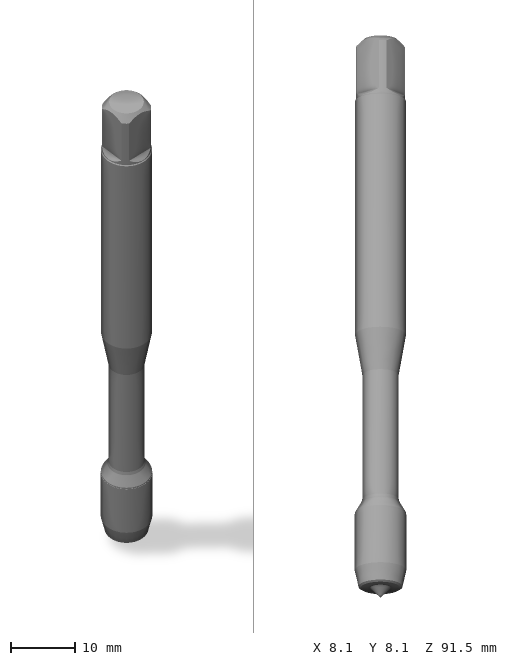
import cadquery as cq

LENGTH = 91.55

HEAD_DIAMETER = 8.1
HEAD_TOP_Z = 13.6
LEAD_TOP_Z = 4.5
LEAD_END_DIAMETER = 6.9
LEAD_END_Z = 1.8
END_FACE_DIAMETER = 6.1
POINT_DIAMETER = 3.2
POINT_HEIGHT = POINT_DIAMETER / 2

NECK_DIAMETER = 5.7
NECK_TOP_Z = 36.6
NECK_BOTTOM_Z = 16.2
COLLAR_TOP_DIAMETER = 5.95
COLLAR_TOP_Z = 15.7
COLLAR_DIAMETER = 8.0
COLLAR_EDGE_Z = 13.9

SHANK_DIAMETER = 8.0
SHANK_BOTTOM_Z = 43.2
SHANK_TOP_Z = 81.6

SQUARE_WIDTH = 6.2
SQUARE_CORNER_DIAMETER = 7.7
SQUARE_TIP_DIAMETER = 5.4
FLAT_BOTTOM_Z = 82.6
SQUARE_CHAMFER = (SQUARE_CORNER_DIAMETER - SQUARE_TIP_DIAMETER) / 2
SHANK_CHAMFER = (SHANK_DIAMETER - SQUARE_CORNER_DIAMETER) / 2
FLAT_COUNT = 4


def turned(sections):
    """Solid of revolution about Z through (diameter, z) sections listed upward."""
    outline = [(diameter / 2, z) for diameter, z in sections]
    bottom_z = outline[0][1]
    top_z = outline[-1][1]
    points = [(0, bottom_z), *outline, (0, top_z)]
    if outline[0][0] == 0:
        points = points[1:]
    return cq.Workplane("XZ").polyline(points).close().revolve(360, (0, 0), (0, 1))


def flat_cutter():
    """Material beyond one flat on +Y, its floor sloping down and outward at 45 degrees."""
    inner = SQUARE_WIDTH / 2
    outer = SHANK_DIAMETER
    outline = [
        (inner, FLAT_BOTTOM_Z),
        (outer, FLAT_BOTTOM_Z - (outer - inner)),
        (outer, LENGTH),
        (inner, LENGTH),
    ]
    return cq.Workplane("YZ").polyline(outline).close().extrude(SHANK_DIAMETER / 2, both=True)


def drive_square():
    """Round stem with four flats, standing on the shank's chamfered end."""
    stem = turned([
        (SHANK_DIAMETER, SHANK_TOP_Z),
        (SQUARE_CORNER_DIAMETER, SHANK_TOP_Z + SHANK_CHAMFER),
        (SQUARE_CORNER_DIAMETER, LENGTH - SQUARE_CHAMFER),
        (SQUARE_TIP_DIAMETER, LENGTH),
    ])
    for index in range(FLAT_COUNT):
        angle = index * 360 / FLAT_COUNT
        stem = stem.cut(flat_cutter().rotate((0, 0, 0), (0, 0, 1), angle))
    return stem


def make_shank():
    """Collar, neck, tapered transition, shank and drive square as one body."""
    round_part = turned([
        (COLLAR_DIAMETER, HEAD_TOP_Z),
        (COLLAR_DIAMETER, COLLAR_EDGE_Z),
        (COLLAR_TOP_DIAMETER, COLLAR_TOP_Z),
        (NECK_DIAMETER, NECK_BOTTOM_Z),
        (NECK_DIAMETER, NECK_TOP_Z),
        (SHANK_DIAMETER, SHANK_BOTTOM_Z),
        (SHANK_DIAMETER, SHANK_TOP_Z),
    ])
    return round_part.union(drive_square())


def make_cutting_head():
    """Cylindrical head with a tapered lead and a centring point, butted to the collar."""
    return turned([
        (0, 0),
        (POINT_DIAMETER, POINT_HEIGHT),
        (END_FACE_DIAMETER, POINT_HEIGHT),
        (LEAD_END_DIAMETER, LEAD_END_Z),
        (HEAD_DIAMETER, LEAD_TOP_Z),
        (HEAD_DIAMETER, HEAD_TOP_Z),
    ])


shank = make_shank()
cutting_head = make_cutting_head()

result = cq.Compound.makeCompound([shank.val(), cutting_head.val()])